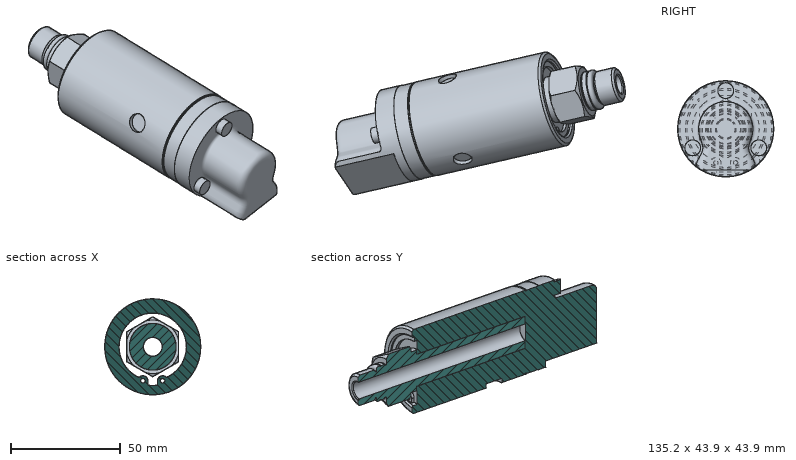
import cadquery as cq
import math


thread_end = 9.1
seal_start = 10.3
seal_end = 13.0
collar_end = 15.2
hex_start = 15.9
hex_end = 30.1
housing_start = 30.4
groove_start = 94.7
groove_end = 95.4
flange_end = 102.1
flat_start = 106.3
housing_end = 111.2
overall_length = 135.19

thread_radius = 16.0 / 2
thread_chamfer = 1.0
neck_radius = 13.5 / 2
seal_radius = 18.4 / 2
collar_radius = 18.16 / 2
undercut_radius = 17.0 / 2
hex_across_flats = 23.7
hex_point_radius = hex_across_flats / 2 / math.cos(math.pi / 6)
hex_front_radius = 22.6 / 2
hex_front_chamfer = 1.35
hex_rear_radius = 24.4 / 2
hex_rear_chamfer = 1.0
shoulder_radius = 21.4 / 2
shaft_radius = 17.0 / 2
shaft_end = groove_start
bore_radius = 8.5 / 2
bore_mouth_radius = 9.5 / 2

housing_radius = 43.9 / 2
housing_chamfer = 1.0
groove_radius = 43.0 / 2
flange_radius = 43.6 / 2
recess_radius = 35.25 / 2
recess_mouth_radius = 36.8 / 2
recess_chamfer = recess_mouth_radius - recess_radius
recess_depth = 3.0
flat_height = -18.7

vent_radius = 8.6 / 2
vent_depth = 2.2
vent_x = 76.95
vent_angles = (30, 150, 270)

ring_inner_radius = 15.3
ring_thickness = 1.5
ear_radius = 2.35
ear_offset = 4.5
ear_height = -15.5
ear_hole_radius = 1.98 / 2
ring_gap = 2 * (ear_offset - ear_radius)

screw_head_radius = 7.2 / 2
screw_head_height = 3.5
screw_circle_radius = 17.4
screw_angles = (90, 210, 330)

barrel_radius = 12.4
waist_angle = math.radians(18.2)
waist_top = -7.1
waist_bottom = -11.2
flare_angle = math.radians(28)
flare_bottom = -14.4
foot_bottom = -17.2
boss_root_fillet = 1.5
boss_end_fillet = 3.2


def cylinder(start, end, radius):
    """Solid cylinder on the X axis."""
    return cq.Workplane("YZ").workplane(offset=start).circle(radius).extrude(end - start)


def on_circle(radius, degrees):
    """Point in the YZ plane at an angle from +Y towards +Z."""
    angle = math.radians(degrees)
    return (radius * math.cos(angle), radius * math.sin(angle))


def make_hexagon():
    """Hexagon with corners up and down and conical chamfers on both ends."""
    length = hex_end - hex_start
    prism = (
        cq.Workplane("YZ")
        .workplane(offset=hex_start)
        .polygon(6, 2 * hex_point_radius)
        .extrude(length)
        .rotate((0, 0, 0), (1, 0, 0), 90)
    )
    envelope = (
        cq.Workplane("XY")
        .moveTo(hex_start, 0)
        .lineTo(hex_start, hex_front_radius)
        .lineTo(hex_start + hex_front_chamfer, hex_point_radius)
        .lineTo(hex_end - hex_rear_chamfer, hex_point_radius)
        .lineTo(hex_end, hex_rear_radius)
        .lineTo(hex_end, 0)
        .close()
        .revolve(360, (0, 0, 0), (1, 0, 0))
    )
    return prism.intersect(envelope)


def make_rotor():
    """Nipple, seal bead, hexagon and bored shaft in one turned piece."""
    recess_floor = housing_start + recess_depth
    neck_start = thread_end + thread_chamfer
    bead_radius = (seal_end - seal_start) / 2
    bead_edge_radius = seal_radius - bead_radius
    turned = (
        cq.Workplane("XY")
        .moveTo(0, 0)
        .lineTo(0, thread_radius - thread_chamfer)
        .lineTo(thread_chamfer, thread_radius)
        .lineTo(thread_end, thread_radius)
        .lineTo(neck_start, thread_radius - thread_chamfer)
        .lineTo(neck_start, neck_radius)
        .lineTo(seal_start, neck_radius)
        .lineTo(seal_start, bead_edge_radius)
        .threePointArc((seal_start + bead_radius, seal_radius), (seal_end, bead_edge_radius))
        .lineTo(seal_end, collar_radius)
        .lineTo(collar_end, collar_radius)
        .lineTo(collar_end, undercut_radius)
        .lineTo(hex_end, undercut_radius)
        .lineTo(hex_end, shoulder_radius)
        .lineTo(recess_floor, shoulder_radius)
        .lineTo(recess_floor, shaft_radius)
        .lineTo(shaft_end, shaft_radius)
        .lineTo(shaft_end, 0)
        .close()
        .revolve(360, (0, 0, 0), (1, 0, 0))
    )
    mouth_chamfer = bore_mouth_radius - bore_radius
    bore = (
        cq.Workplane("XY")
        .moveTo(0, 0)
        .lineTo(0, bore_mouth_radius)
        .lineTo(mouth_chamfer, bore_radius)
        .lineTo(shaft_end, bore_radius)
        .lineTo(shaft_end, 0)
        .close()
        .revolve(360, (0, 0, 0), (1, 0, 0))
    )
    return turned.union(make_hexagon()).cut(bore)


def turn_down(body, start, end, radius):
    """Reduce the outside of the body to the radius between two positions."""
    sleeve = cylinder(start, end, 2 * housing_radius)
    return body.cut(sleeve.cut(cylinder(start, end, radius)))


def make_shell():
    """Housing barrel with front recess, narrow groove, flange and shaft bore."""
    recess_floor = housing_start + recess_depth
    shell = cylinder(housing_start, housing_end, housing_radius)
    shell = shell.faces("<X").chamfer(housing_chamfer)
    shell = turn_down(shell, groove_start, groove_end, groove_radius)
    shell = turn_down(shell, groove_end, flange_end, flange_radius)
    recess = (
        cq.Workplane("XY")
        .moveTo(housing_start, 0)
        .lineTo(housing_start, recess_mouth_radius)
        .lineTo(housing_start + recess_chamfer, recess_radius)
        .lineTo(recess_floor, recess_radius)
        .lineTo(recess_floor, 0)
        .close()
        .revolve(360, (0, 0, 0), (1, 0, 0))
    )
    return shell.cut(recess).cut(cylinder(recess_floor, shaft_end, shaft_radius))


def make_vent(degrees):
    """Cutter for a flat-bottomed radial hole, turned from +Y towards +Z."""
    cutter = (
        cq.Workplane("XZ", origin=(vent_x, housing_radius - vent_depth, 0))
        .circle(vent_radius)
        .extrude(-2 * vent_depth)
    )
    return cutter.rotate((0, 0, 0), (1, 0, 0), degrees)


def make_retaining_ring():
    """Open ring seated on the recess floor, with a drilled ear at each end."""
    start = housing_start + recess_depth - ring_thickness
    plane = cq.Workplane("YZ").workplane(offset=start)
    ear_centers = [(-ear_offset, ear_height), (ear_offset, ear_height)]
    ring = plane.circle(recess_radius).circle(ring_inner_radius).extrude(ring_thickness)
    ears = plane.pushPoints(ear_centers).circle(ear_radius).extrude(ring_thickness)
    ears = ears.intersect(cylinder(start, start + ring_thickness, recess_radius))
    gap = plane.center(0, -recess_radius).rect(ring_gap, 4 * ear_radius).extrude(ring_thickness)
    holes = plane.pushPoints(ear_centers).circle(ear_hole_radius).extrude(ring_thickness)
    return ring.union(ears).cut(gap).cut(holes)


def make_screw_heads():
    """Three plain round heads standing on the rear face."""
    centers = [on_circle(screw_circle_radius, angle) for angle in screw_angles]
    return (
        cq.Workplane("YZ")
        .workplane(offset=housing_end)
        .pushPoints(centers)
        .circle(screw_head_radius)
        .extrude(screw_head_height)
    )


def make_boss_profile():
    """Boss outline, symmetric in Y, with the foot running on past the housing rim."""
    tangent_y = barrel_radius * math.cos(waist_angle)
    tangent_z = -barrel_radius * math.sin(waist_angle)
    waist_y = tangent_y - (tangent_z - waist_top) * math.tan(waist_angle)
    waist_arc = (waist_top - waist_bottom) / (math.sin(waist_angle) + math.sin(flare_angle))
    arc_center_y = waist_y + waist_arc * math.cos(waist_angle)
    arc_center_z = waist_top - waist_arc * math.sin(waist_angle)
    flare_y = arc_center_y - waist_arc * math.cos(flare_angle)
    foot_y = flare_y + (waist_bottom - flare_bottom) * math.tan(flare_angle)
    foot_arc = (flare_bottom - foot_bottom) / math.sin(flare_angle)
    tip_y = foot_y + foot_arc * (1 - math.cos(flare_angle))
    foot_mid_y = tip_y - foot_arc * (1 - math.cos(flare_angle / 2))
    foot_mid_z = foot_bottom + foot_arc * math.sin(flare_angle / 2)
    return (
        cq.Workplane("YZ")
        .workplane(offset=housing_end)
        .moveTo(-tangent_y, tangent_z)
        .threePointArc((0, barrel_radius), (tangent_y, tangent_z))
        .lineTo(waist_y, waist_top)
        .threePointArc((arc_center_y - waist_arc, arc_center_z), (flare_y, waist_bottom))
        .lineTo(foot_y, flare_bottom)
        .threePointArc((foot_mid_y, foot_mid_z), (tip_y, foot_bottom))
        .lineTo(tip_y, -housing_radius)
        .lineTo(-tip_y, -housing_radius)
        .lineTo(-tip_y, foot_bottom)
        .threePointArc((-foot_mid_y, foot_mid_z), (-foot_y, flare_bottom))
        .lineTo(-flare_y, waist_bottom)
        .threePointArc((-arc_center_y + waist_arc, arc_center_z), (-waist_y, waist_top))
        .close()
    )


def make_boss():
    """Port boss with a rounded rear edge."""
    boss = make_boss_profile().extrude(overall_length - housing_end)
    return boss.faces(">X").edges("not(<Z)").fillet(boss_end_fillet)


def make_housing():
    """Shell with retaining ring, vents, rear port boss, screw heads and flat."""
    housing = make_shell().union(make_retaining_ring())
    for angle in vent_angles:
        housing = housing.cut(make_vent(angle))
    base = cylinder(flat_start, housing_end, 2 * housing_radius)
    rear = base.union(make_boss())
    margin = 0.1
    root_corner = cq.selectors.BoxSelector(
        (housing_end - margin, -housing_radius, -housing_radius + margin),
        (housing_end + margin, housing_radius, housing_radius),
        boundingbox=True,
    )
    rear = rear.edges(root_corner).fillet(boss_root_fillet)
    rear = rear.intersect(cylinder(flat_start, overall_length, housing_radius))
    housing = housing.union(rear).union(make_screw_heads())
    below_flat = (
        cq.Workplane("XY")
        .box(overall_length, 2 * housing_radius, housing_radius, centered=(False, True, False))
        .translate((flat_start, 0, flat_height - housing_radius))
    )
    return housing.cut(below_flat)


rotor = make_rotor()
housing = make_housing()

result = cq.Compound.makeCompound([rotor.val(), housing.val()])